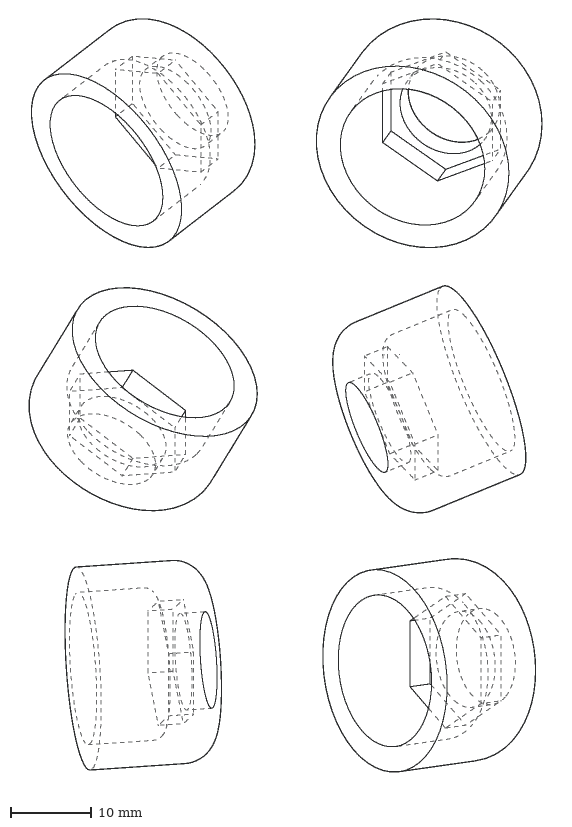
import cadquery as cq
import math

OUTER_DIAMETER = 25.4
LENGTH = 15.875
OUTER_ROUND = 3.81

COUNTERBORE_DIAMETER = 19.05
COUNTERBORE_DEPTH = 9.525
COUNTERBORE_ROUND = 1.27

HEX_ACROSS_FLATS = 14.45
HEX_DEPTH = 3.175

THROUGH_DIAMETER = 12.06

hex_across_corners = HEX_ACROSS_FLATS / math.cos(math.pi / 6)
hex_floor_depth = COUNTERBORE_DEPTH + HEX_DEPTH


def plane_at_depth(depth):
    """Sketch plane across the axis, facing +Y, with local Y along -Z."""
    return cq.Workplane(cq.Plane(origin=(0, depth, 0), xDir=(1, 0, 0), normal=(0, 1, 0)))


def cylinder(diameter, length):
    """Cylinder running from the open end in the +Y direction."""
    return plane_at_depth(0).circle(diameter / 2).extrude(length)


def outer_body():
    """Cylinder with a rounded rim on the +Y end."""
    return cylinder(OUTER_DIAMETER, LENGTH).faces(">Y").edges().fillet(OUTER_ROUND)


def counterbore():
    """Wide bore from the open end, with a filleted floor corner."""
    bore = cylinder(COUNTERBORE_DIAMETER, COUNTERBORE_DEPTH)
    return bore.faces(">Y").edges().fillet(COUNTERBORE_ROUND)


def hex_pocket():
    """Hexagonal pocket in the counterbore floor, with corners on the Z axis.

    It starts at the tangent line of the floor fillet, so that its corners
    cut cleanly through the fillet.
    """
    start_depth = COUNTERBORE_DEPTH - COUNTERBORE_ROUND
    return (
        plane_at_depth(start_depth)
        .transformed(rotate=(0, 0, 90))
        .polygon(6, hex_across_corners)
        .extrude(hex_floor_depth - start_depth)
    )


def through_hole():
    return cylinder(THROUGH_DIAMETER, LENGTH)


result = outer_body()
for cavity in (counterbore(), hex_pocket(), through_hole()):
    result = result.cut(cavity)